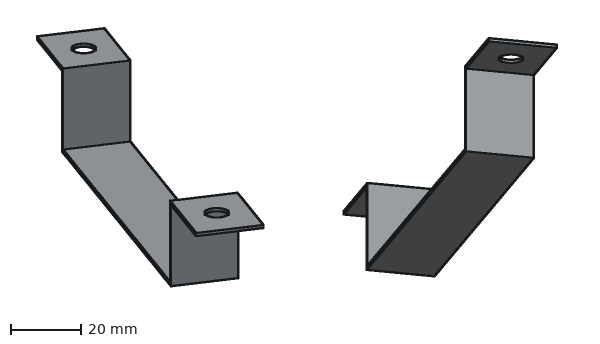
import cadquery as cq

length = 152.0
width = 20.0
height = 26.0
thickness = 1.0

flange_length = 25.0
hole_diameter = 7.0

half_length = length / 2
half_inner = half_length - flange_length
half_outer = half_inner + thickness
hole_offset = half_length - flange_length / 2


def bent_strip():
    """Hat-shaped strip with sharp bends, centred in X and Y, base on Z = 0."""
    right_side = [
        (half_outer, 0),
        (half_outer, height - thickness),
        (half_length, height - thickness),
        (half_length, height),
        (half_inner, height),
        (half_inner, thickness),
    ]
    left_side = [(-x, z) for x, z in reversed(right_side)]
    profile = cq.Workplane("XZ").polyline(right_side + left_side).close()
    return profile.extrude(width / 2, both=True)


def flange_holes():
    """Cutters for one round hole centred in each flange."""
    return (
        cq.Workplane("XY")
        .pushPoints([(-hole_offset, 0), (hole_offset, 0)])
        .circle(hole_diameter / 2)
        .extrude(height)
        .translate((0, 0, height / 2))
    )


result = bent_strip().cut(flange_holes())